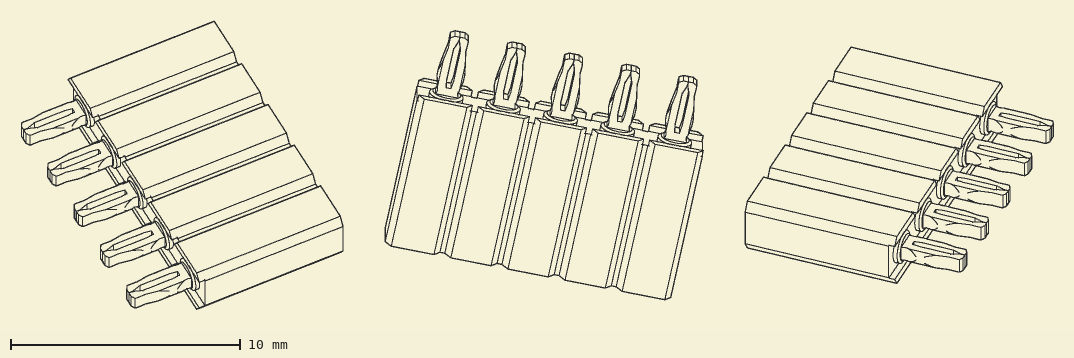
import cadquery as cq

pin_count = 5
pitch = 2.54
strip_length = pin_count * pitch
strip_height = 2.54
total_depth = 9.8
pin_length = 2.8
strip_depth = total_depth - pin_length

groove_depth = 0.42
groove_floor_width = 0.22
bevel_width = 0.27

lip_thickness = 0.38
recess_depth = 0.28

collar_radius = 0.75
collar_bevel_radial = 0.13
collar_bevel_axial = 0.09

pin_thickness = 0.69
pin_round_radius = 0.6
root_half_width = 0.5
neck_half_width = 0.46
neck_start = 0.13
neck_end = 0.25
bulge_half_width = 0.62
bulge_distance = 0.84
waist_half_width = 0.4
taper_end = 2.18
tip_half_width = 0.41
tip_narrowing_length = 0.19
tip_shoulder_half_width = 0.4
tip_bevel_length = 0.1
tip_end_half_width = 0.22

slot_start = 0.37
slot_start_half_width = 0.1
slot_half_width = 0.15
slot_widen_end = 0.71
slit_half_width = 0.006

pin_positions = [(i + 0.5) * pitch - strip_length / 2 for i in range(pin_count)]
groove_positions = [i * pitch - strip_length / 2 for i in range(1, pin_count)]


def mirrored_outline(half_outline):
    """Close a list of (half width, y) points with its mirror image about x = 0."""
    opposite = [(-x, y) for x, y in reversed(half_outline)]
    return cq.Workplane("XY").polyline(half_outline + opposite).close()


def edge_outline():
    """Upper edge of the strip's X-Z section, from the left end to the right end."""
    half_length = strip_length / 2
    top = strip_height / 2
    groove_floor = top - groove_depth
    floor_half = groove_floor_width / 2
    mouth_half = floor_half + bevel_width
    points = [(-half_length, groove_floor), (-half_length + bevel_width, top)]
    for x in groove_positions:
        points += [
            (x - mouth_half, top),
            (x - floor_half, groove_floor),
            (x + floor_half, groove_floor),
            (x + mouth_half, top),
        ]
    points += [(half_length - bevel_width, top), (half_length, groove_floor)]
    return points


def make_strip():
    upper = edge_outline()
    lower = [(x, -z) for x, z in reversed(upper)]
    strip = cq.Workplane("XZ").polyline(upper + lower).close().extrude(-strip_depth)
    recess_height = strip_height - 2 * lip_thickness
    recess = cq.Workplane("XY").box(strip_length, recess_depth, recess_height, centered=(True, False, True))
    return strip.cut(recess)


def make_collar():
    half_section = [
        (0, recess_depth),
        (collar_radius, recess_depth),
        (collar_radius, collar_bevel_axial),
        (collar_radius - collar_bevel_radial, 0),
        (0, 0),
    ]
    return cq.Workplane("XY").polyline(half_section).close().revolve(360, (0, 0), (0, 1))


def make_pin():
    blade = mirrored_outline([
        (root_half_width, recess_depth),
        (root_half_width, 0),
        (neck_half_width, -neck_start),
        (neck_half_width, -neck_end),
        (bulge_half_width, -bulge_distance),
        (waist_half_width, -taper_end),
        (tip_half_width, tip_narrowing_length - pin_length),
        (tip_shoulder_half_width, tip_bevel_length - pin_length),
        (tip_end_half_width, -pin_length),
    ]).extrude(pin_thickness / 2, both=True)
    rounding = cq.Workplane("XZ", origin=(0, recess_depth, 0)).circle(pin_round_radius)
    slot = mirrored_outline([
        (slot_start_half_width, -slot_start),
        (slot_half_width, -slot_widen_end),
        (slot_half_width, -taper_end),
        (slit_half_width, tip_narrowing_length - pin_length),
        (slit_half_width, -pin_length),
    ]).extrude(pin_thickness, both=True)
    return blade.intersect(rounding.extrude(recess_depth + pin_length)).cut(slot)


contact = make_collar().union(make_pin())
result = make_strip()
for x in pin_positions:
    result = result.union(contact.translate((x, 0, 0)))